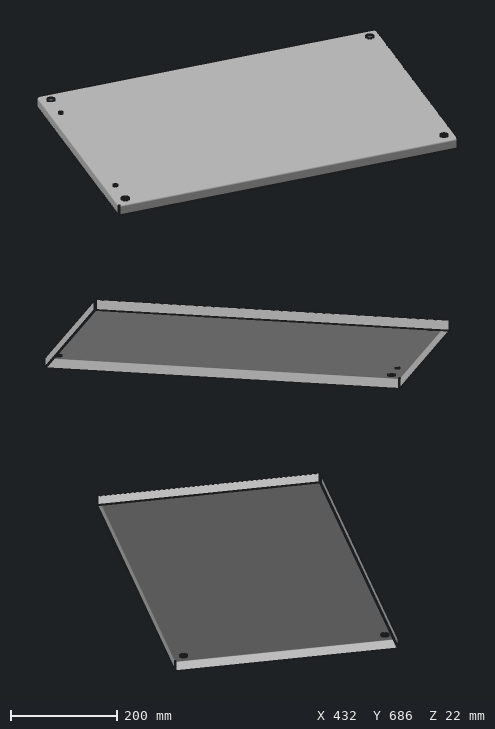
import cadquery as cq

width = 432.0
length = 686.0
height = 22.0
sheet = 2.0
bend_radius = 3.5
corner_relief = 3.0

corner_hole_diameter = 14.5
corner_hole_spacing_x = 387.5
corner_hole_spacing_y = 642.0
small_hole_diameter = 8.0
small_hole_spacing = 284.5


def rounded_block(size_x, size_y, size_z, radius):
    """Block standing on Z = 0 with its top edges rounded."""
    block = cq.Workplane("XY").box(size_x, size_y, size_z, centered=(True, True, False))
    return block.faces(">Z").edges().fillet(radius)


def through_holes(points, diameter):
    return cq.Workplane("XY").pushPoints(points).circle(diameter / 2).extrude(height)


def four_corners(spacing_x, spacing_y):
    return [(x, y) for x in (-spacing_x / 2, spacing_x / 2) for y in (-spacing_y / 2, spacing_y / 2)]


outside = rounded_block(width, length, height, bend_radius)
inside = rounded_block(width - 2 * sheet, length - 2 * sheet, height - sheet, bend_radius - sheet)
tray = outside.cut(inside)

notches = (
    cq.Workplane("XY")
    .pushPoints(four_corners(width, length))
    .rect(2 * corner_relief, 2 * corner_relief)
    .extrude(height)
)
tray = tray.cut(notches)

corner_points = four_corners(corner_hole_spacing_x, corner_hole_spacing_y)
tray = tray.cut(through_holes(corner_points, corner_hole_diameter))

small_hole_y = -corner_hole_spacing_y / 2
small_points = [(x, small_hole_y) for x in (-small_hole_spacing / 2, small_hole_spacing / 2)]
result = tray.cut(through_holes(small_points, small_hole_diameter))